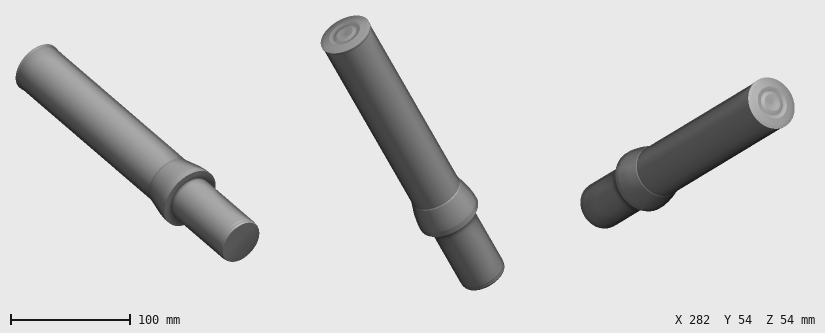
import cadquery as cq

TOTAL_LENGTH = 282.0
FLANGE_FACE = 211.8

HANDLE_DIAMETER = 44.0
BEAD_DIAMETER = 45.0
BEAD_START = 1.5
BEAD_END = 3.7
STEP_LENGTH = 0.8
FLARE_START = 184.7
FLARE_END = 207.0
FLANGE_DIAMETER = 54.0
FLARE_BULGE = 0.5

FACE_DIAMETER = 40.0
RIPPLE_DIAMETERS = (28.2, 21.5, 14.7)
RIPPLE_DEPTH = 0.8

SPIGOT_DIAMETER = 40.0
RELIEF_DIAMETER = 39.5
NECK_LENGTH = 0.8
END_RELIEF_LENGTH = 4.2
END_CHAMFER_LENGTH = 1.5
END_CHAMFER_HEIGHT = 0.5


def revolve_about_x(profile):
    """Close a half profile (X, radius) on the X axis and revolve it fully."""
    return profile.close().revolve(360, (0, 0, 0), (1, 0, 0))


def make_handle():
    """Round handle with a rippled end, an end bead and a flared flange."""
    handle_radius = HANDLE_DIAMETER / 2
    bead_radius = BEAD_DIAMETER / 2
    flange_radius = FLANGE_DIAMETER / 2
    outer_ridge, valley, inner_ridge = [diameter / 2 for diameter in RIPPLE_DIAMETERS]
    flare_foot = FLARE_START + STEP_LENGTH
    flare_middle = (
        (flare_foot + FLARE_END) / 2,
        (bead_radius + flange_radius) / 2 + FLARE_BULGE,
    )
    profile = (
        cq.Workplane("XY")
        .moveTo(RIPPLE_DEPTH, 0)
        .lineTo(0, inner_ridge)
        .lineTo(RIPPLE_DEPTH, valley)
        .lineTo(0, outer_ridge)
        .lineTo(RIPPLE_DEPTH, FACE_DIAMETER / 2)
        .lineTo(BEAD_START, bead_radius)
        .lineTo(BEAD_END - STEP_LENGTH, bead_radius)
        .lineTo(BEAD_END, handle_radius)
        .lineTo(FLARE_START, handle_radius)
        .lineTo(flare_foot, bead_radius)
        .threePointArc(flare_middle, (FLARE_END, flange_radius))
        .lineTo(FLANGE_FACE, flange_radius)
        .lineTo(FLANGE_FACE, 0)
    )
    return revolve_about_x(profile)


def make_spigot():
    """Round spigot with a relieved neck at the flange and a relieved, chamfered end."""
    spigot_radius = SPIGOT_DIAMETER / 2
    relief_radius = RELIEF_DIAMETER / 2
    neck_end = FLANGE_FACE + NECK_LENGTH
    relief_start = TOTAL_LENGTH - END_RELIEF_LENGTH
    profile = (
        cq.Workplane("XY")
        .moveTo(FLANGE_FACE, 0)
        .lineTo(FLANGE_FACE, relief_radius)
        .lineTo(neck_end, relief_radius)
        .lineTo(neck_end + STEP_LENGTH, spigot_radius)
        .lineTo(relief_start, spigot_radius)
        .lineTo(relief_start + STEP_LENGTH, relief_radius)
        .lineTo(TOTAL_LENGTH - END_CHAMFER_LENGTH, relief_radius)
        .lineTo(TOTAL_LENGTH, relief_radius - END_CHAMFER_HEIGHT)
        .lineTo(TOTAL_LENGTH, 0)
    )
    return revolve_about_x(profile)


handle = make_handle()
spigot = make_spigot()

result = cq.Compound.makeCompound([handle.val(), spigot.val()])